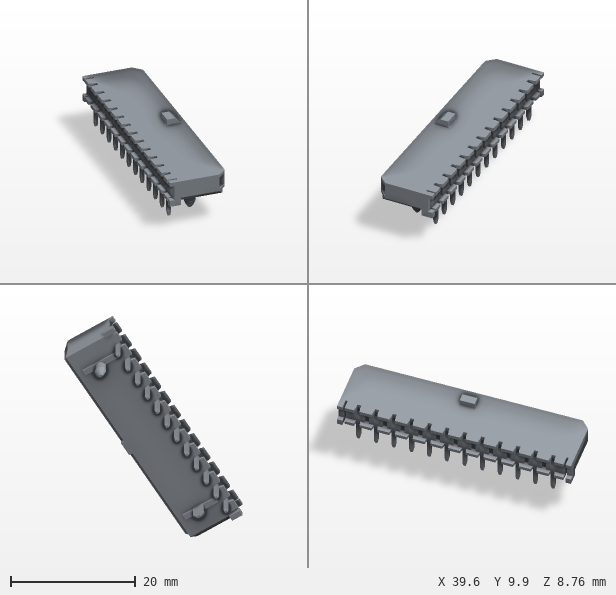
import cadquery as cq



LENGTH = 39.65
DEPTH = 9.9
HEIGHT = 3.8
CORNER_X = 1.35
CORNER_Y = 1.43
BOTTOM_BEVEL = 0.85
MARGIN = 0.4

STANDOFF = 0.48
FOOT_WIDTH = 0.9
FOOT_DEPTH = 1.95

OPENING_TOP = HEIGHT - 0.6
OPENING_BOTTOM = 1.2
LIP_RECESS_DEPTH = 0.6
LIP_KEY_WIDTH = 2.55

CHANNEL_DEPTH = 0.75
CHANNEL_TOP = HEIGHT - 0.67
CHANNEL_BOTTOM = 0.6

SLOT_WIDTH = 0.35
SLOT_DEPTH = 1.6
PASSAGE_BOTTOM = HEIGHT - 1.65

PIN_COUNT = 12
PIN_ROW_LENGTH = 33.0
PIN_PITCH = PIN_ROW_LENGTH / (PIN_COUNT - 1)
PIN_WIDTH = 0.67
PIN_REAR = CHANNEL_DEPTH
PIN_THICKNESS = 0.6
PIN_FRONT = PIN_REAR + PIN_THICKNESS
PIN_BOTTOM = -3.73
PIN_TIP_LENGTH = 0.75
PIN_TIP_WIDTH = 0.4
BEND_START = HEIGHT - 2.85
BEND_RADIUS = 1.63
NOTCH_MOUTH = 1.0

GROOVE_WIDTH = 0.75
GROOVE_DEPTH = 0.45

RAMP_WIDTH = 2.55
RAMP_HEIGHT = 1.23
RAMP_FRONT = DEPTH - 0.85
RAMP_RIDGE = DEPTH - 2.05
RAMP_REAR = DEPTH - 3.37
RAMP_FILLET = 0.28

PEG_RADIUS = 0.9
PEG_X = LENGTH / 2 - 5.0
PEG_Y = DEPTH - 4.65
PEG_FLAT = 0.08
HOOK_Z = -2.38
HOOK_RADIUS = 1.05
SHOULDER_Z = -3.3
SHOULDER_RADIUS = 0.65
TIP_RADIUS = 0.3

RAIL_WIDTH = 0.95
RAIL_FRONT = DEPTH - 1.7
RAIL_REAR = DEPTH - 7.8

PIN_XS = [(i - (PIN_COUNT - 1) / 2) * PIN_PITCH for i in range(PIN_COUNT)]
SIDES = (-1, 1)


def box(x0, x1, y0, y1, z0, z1):
    """Box spanning two X, two Y and two Z limits."""
    size = (abs(x1 - x0), abs(y1 - y0), abs(z1 - z0))
    centre = ((x0 + x1) / 2, (y0 + y1) / 2, (z0 + z1) / 2)
    return cq.Workplane("XY").box(*size).translate(centre)


def bottom_bevel(side):
    """Wedge that bevels one lower side edge, ahead of the foot."""
    edge = side * LENGTH / 2
    return (
        cq.Workplane("XZ", origin=(0, FOOT_DEPTH, 0))
        .moveTo(edge, BOTTOM_BEVEL)
        .lineTo(edge - side * BOTTOM_BEVEL, 0)
        .lineTo(edge, 0)
        .close()
        .extrude(FOOT_DEPTH - DEPTH)
    )


def corner_bevel(side):
    """Wedge that bevels one front corner over the full height."""
    edge = side * LENGTH / 2
    return (
        cq.Workplane("XY")
        .moveTo(edge, DEPTH - CORNER_Y)
        .lineTo(edge - side * CORNER_X, DEPTH)
        .lineTo(edge, DEPTH)
        .close()
        .extrude(HEIGHT)
    )


def end_cuts(side):
    """Front corner opening, rear slot and the passage that joins them, at one end."""
    edge = side * LENGTH / 2
    opening = box(edge, edge - side * CORNER_X, DEPTH - CORNER_Y, DEPTH, OPENING_BOTTOM, OPENING_TOP)
    slot_outer = edge - side * FOOT_WIDTH
    slot_inner = slot_outer - side * SLOT_WIDTH
    slot = box(slot_outer, slot_inner, 0, SLOT_DEPTH, -STANDOFF, HEIGHT)
    passage = box(slot_outer, slot_inner, 0, DEPTH, PASSAGE_BOTTOM, CHANNEL_TOP)
    return opening.union(slot).union(passage)


def foot(side):
    """Foot below the housing at one rear end, outside the end slot."""
    edge = side * LENGTH / 2
    return box(edge, edge - side * FOOT_WIDTH, 0, FOOT_DEPTH, -STANDOFF, HEIGHT / 2)


def pin_notch(x):
    """Notch for one pin, straight around the pin and flared toward the rear face."""
    half = PIN_WIDTH / 2
    outline = [
        (x - NOTCH_MOUTH / 2, 0),
        (x - half, PIN_REAR),
        (x - half, PIN_FRONT),
        (x + half, PIN_FRONT),
        (x + half, PIN_REAR),
        (x + NOTCH_MOUTH / 2, 0),
    ]
    return cq.Workplane("XY").polyline(outline).close().extrude(HEIGHT)


def bend_point(height):
    """Point (Y, Z) on the outer bend, at a height above the start of the bend."""
    inset = BEND_RADIUS - (BEND_RADIUS**2 - height**2) ** 0.5
    return (PIN_REAR + inset, BEND_START + height)


def pin(x):
    """Pin leg with a tapered tip; its upper end bends forward into the housing."""
    bend_height = (BEND_RADIUS**2 - (BEND_RADIUS - PIN_THICKNESS) ** 2) ** 0.5
    tip_top = PIN_BOTTOM + PIN_TIP_LENGTH
    leg = (
        cq.Workplane("YZ", origin=(x - PIN_WIDTH / 2, 0, 0))
        .moveTo(PIN_FRONT, tip_top)
        .lineTo(PIN_REAR, tip_top)
        .lineTo(PIN_REAR, BEND_START)
        .threePointArc(bend_point(bend_height / 2), bend_point(bend_height))
        .close()
        .extrude(PIN_WIDTH)
    )
    tip = (
        cq.Workplane("XY", origin=(x, (PIN_REAR + PIN_FRONT) / 2, tip_top))
        .rect(PIN_WIDTH, PIN_THICKNESS)
        .workplane(offset=-PIN_TIP_LENGTH)
        .rect(PIN_TIP_WIDTH, PIN_TIP_WIDTH)
        .loft()
    )
    return leg.union(tip)


def groove(x):
    """Upright groove in the channel wall."""
    rear = CHANNEL_DEPTH - MARGIN
    front = CHANNEL_DEPTH + GROOVE_DEPTH
    return box(x - GROOVE_WIDTH / 2, x + GROOVE_WIDTH / 2, rear, front, CHANNEL_BOTTOM, CHANNEL_TOP)


def locking_ramp():
    """Ramp on top of the housing, with a concave fillet at the foot of its rear face."""
    top = HEIGHT + RAMP_HEIGHT
    fillet_centre = (RAMP_REAR - RAMP_FILLET, HEIGHT + RAMP_FILLET)
    reach = RAMP_FILLET / 2**0.5
    fillet_middle = (fillet_centre[0] + reach, fillet_centre[1] - reach)
    return (
        cq.Workplane("YZ", origin=(-RAMP_WIDTH / 2, 0, 0))
        .moveTo(RAMP_FRONT, HEIGHT)
        .lineTo(RAMP_RIDGE, top)
        .lineTo(RAMP_REAR, top)
        .lineTo(RAMP_REAR, HEIGHT + RAMP_FILLET)
        .threePointArc(fillet_middle, (RAMP_REAR - RAMP_FILLET, HEIGHT))
        .lineTo(RAMP_REAR - RAMP_FILLET, HEIGHT - MARGIN)
        .lineTo(RAMP_FRONT, HEIGHT - MARGIN)
        .close()
        .extrude(RAMP_WIDTH)
    )


def board_peg(side):
    """Peg and the standoff rail it grows from, on one side."""
    x = side * PEG_X
    inner = x - side * PEG_FLAT
    shank = cq.Workplane("XY", origin=(x, PEG_Y, MARGIN)).circle(PEG_RADIUS).extrude(HOOK_Z - MARGIN)
    tip = (
        cq.Workplane("XZ", origin=(x, PEG_Y, 0))
        .moveTo(0, HOOK_Z)
        .lineTo(HOOK_RADIUS, HOOK_Z)
        .lineTo(SHOULDER_RADIUS, SHOULDER_Z)
        .lineTo(TIP_RADIUS, PIN_BOTTOM)
        .lineTo(0, PIN_BOTTOM)
        .close()
        .revolve(360, (0, 0, 0), (0, 1, 0))
    )
    envelope = box(
        inner, x + side * HOOK_RADIUS, PEG_Y - PEG_RADIUS, PEG_Y + PEG_RADIUS, PIN_BOTTOM, MARGIN
    )
    peg = shank.union(tip).intersect(envelope)
    rail = box(x, x + side * RAIL_WIDTH, RAIL_REAR, RAIL_FRONT, -STANDOFF, MARGIN)
    return peg.union(rail)


housing = box(-LENGTH / 2, LENGTH / 2, 0, DEPTH, 0, HEIGHT)
for side in SIDES:
    housing = housing.union(foot(side))
for side in SIDES:
    housing = housing.cut(bottom_bevel(side)).cut(corner_bevel(side)).cut(end_cuts(side))

for side in SIDES:
    recess = box(
        side * LIP_KEY_WIDTH / 2, side * LENGTH / 2, DEPTH - LIP_RECESS_DEPTH, DEPTH, 0, BOTTOM_BEVEL
    )
    housing = housing.cut(recess)

housing = housing.cut(
    box(-LENGTH / 2, LENGTH / 2, 0, CHANNEL_DEPTH, CHANNEL_BOTTOM, CHANNEL_TOP)
)
for x in PIN_XS:
    housing = housing.cut(pin_notch(x))
for x in PIN_XS[:-1]:
    housing = housing.cut(groove(x + PIN_PITCH / 2))

result = housing.union(locking_ramp())
for x in PIN_XS:
    result = result.union(pin(x))
for side in SIDES:
    result = result.union(board_peg(side))